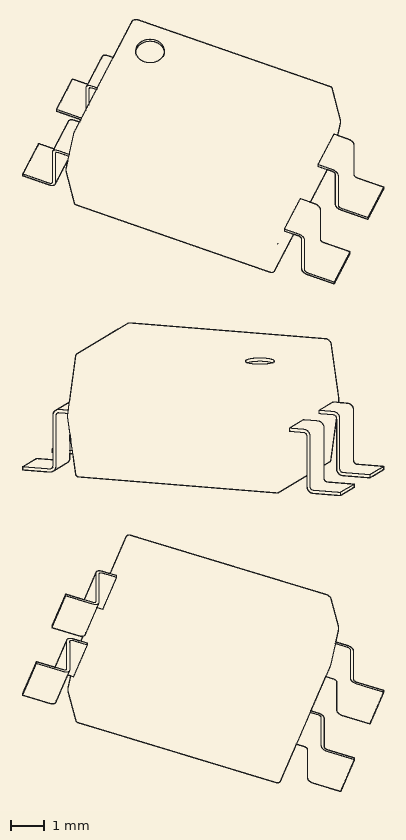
import cadquery as cq
import math

housing_length = 6.8
housing_width = 4.9
housing_height = 3.75
lead_span = 10.0
mid_height = housing_height / 2

draft_angle = 6.0
edge_radius = 0.1
pin_one_chamfer = 0.11
dot_diameter = 0.85
dot_depth = 0.1
dot_x = -2.27
dot_y = 1.32

lead_thickness = 0.1
lead_width = 1.2
lead_pitch = 2.54
foot_length = 0.95
bend_inner_radius = 0.1
bend_outer_radius = bend_inner_radius + lead_thickness

belt_bottom = mid_height - lead_thickness / 2
belt_top = mid_height + lead_thickness / 2
half_height = housing_height - belt_top


def drafted_half(start_height, extrude_distance):
    """Half of the housing, narrowing away from the belt."""
    return (
        cq.Workplane("XY")
        .workplane(offset=start_height)
        .rect(housing_length, housing_width)
        .extrude(extrude_distance, taper=draft_angle)
    )


def make_housing():
    belt = (
        cq.Workplane("XY")
        .workplane(offset=belt_bottom)
        .rect(housing_length, housing_width)
        .extrude(lead_thickness)
    )
    housing = (
        belt
        .union(drafted_half(belt_top, half_height))
        .union(drafted_half(belt_bottom, -half_height))
    )

    housing = housing.faces(">Z").edges("<X").chamfer(pin_one_chamfer)

    belt_zone = cq.selectors.BoxSelector(
        (-housing_length, -housing_width, belt_bottom - edge_radius),
        (housing_length, housing_width, belt_top + edge_radius),
    )
    belt_outlines = housing.edges("|X or |Y").edges(belt_zone).vals()
    rounded_edges = [
        edge for edge in housing.edges().vals()
        if not any(edge.isSame(line) for line in belt_outlines)
    ]
    housing = housing.newObject(rounded_edges).fillet(edge_radius)

    dot = (
        cq.Workplane("XY")
        .workplane(offset=housing_height - dot_depth)
        .center(dot_x, dot_y)
        .circle(dot_diameter / 2)
        .extrude(dot_depth)
    )
    return housing.cut(dot)


def make_lead(side, centre_y):
    """Gull-wing lead at the -X end (side -1) or +X end (side +1), butting against the belt."""
    root_x = side * housing_length / 2
    toe_x = side * lead_span / 2
    outer_face_x = toe_x - side * foot_length
    inner_face_x = outer_face_x - side * lead_thickness

    upper_bend_x = outer_face_x - side * bend_outer_radius
    upper_bend_z = belt_top - bend_outer_radius
    lower_bend_x = inner_face_x + side * bend_outer_radius
    lower_bend_z = bend_outer_radius

    def upper_bend_middle(radius):
        offset = radius * math.sqrt(0.5)
        return (upper_bend_x + side * offset, upper_bend_z + offset)

    def lower_bend_middle(radius):
        offset = radius * math.sqrt(0.5)
        return (lower_bend_x - side * offset, lower_bend_z - offset)

    profile = (
        cq.Workplane("XZ", origin=(0, centre_y, 0))
        .moveTo(root_x, belt_top)
        .lineTo(upper_bend_x, belt_top)
        .threePointArc(upper_bend_middle(bend_outer_radius), (outer_face_x, upper_bend_z))
        .lineTo(outer_face_x, lower_bend_z)
        .threePointArc(lower_bend_middle(bend_inner_radius), (lower_bend_x, lead_thickness))
        .lineTo(toe_x, lead_thickness)
        .lineTo(toe_x, 0)
        .lineTo(lower_bend_x, 0)
        .threePointArc(lower_bend_middle(bend_outer_radius), (inner_face_x, lower_bend_z))
        .lineTo(inner_face_x, upper_bend_z)
        .threePointArc(upper_bend_middle(bend_inner_radius), (upper_bend_x, belt_bottom))
        .lineTo(root_x, belt_bottom)
        .close()
    )
    return profile.extrude(lead_width / 2, both=True)


housing = make_housing()

leads = []
for side in (-1, 1):
    for row in (-1, 1):
        leads.append(make_lead(side, row * lead_pitch / 2).val())

result = cq.Compound.makeCompound([housing.val(), *leads])